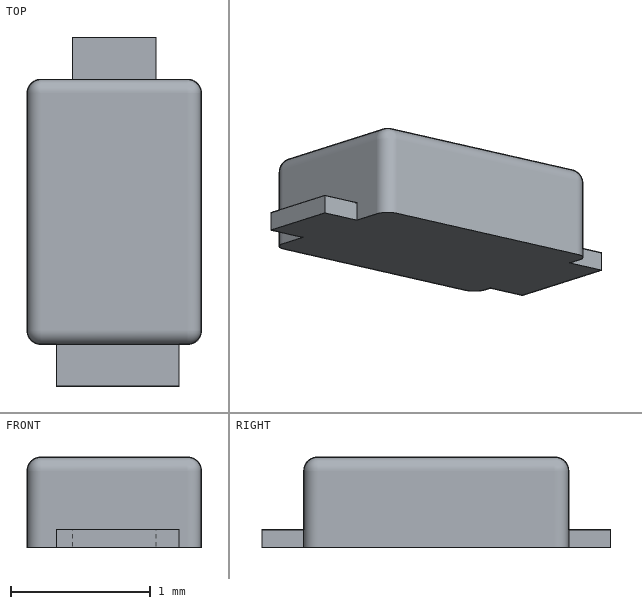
import cadquery as cq

BODY_WIDTH = 1.25
BODY_LENGTH = 1.9
BODY_HEIGHT = 0.65
EDGE_RADIUS = 0.1

LEAD_SPAN = 2.5
LEAD_THICKNESS = 0.13
FRONT_LEAD_WIDTH = 0.88
FRONT_LEAD_OFFSET = 0.025
BACK_LEAD_WIDTH = 0.6
BACK_LEAD_OFFSET = 0.0


def make_body():
    """Block standing on Z = 0 with rounded vertical and top edges."""
    block = cq.Workplane("XY").box(
        BODY_WIDTH, BODY_LENGTH, BODY_HEIGHT, centered=(True, True, False)
    )
    return block.edges("|Z or >Z").fillet(EDGE_RADIUS)


def make_lead(width, x_offset, end_side):
    """Flat lead from the body centre to one end; end_side is -1 (front) or +1 (back)."""
    length = LEAD_SPAN / 2
    return (
        cq.Workplane("XY")
        .center(x_offset, end_side * length / 2)
        .box(width, length, LEAD_THICKNESS, centered=(True, True, False))
    )


front_lead = make_lead(FRONT_LEAD_WIDTH, FRONT_LEAD_OFFSET, -1)
back_lead = make_lead(BACK_LEAD_WIDTH, BACK_LEAD_OFFSET, 1)

result = make_body().union(front_lead).union(back_lead).clean()